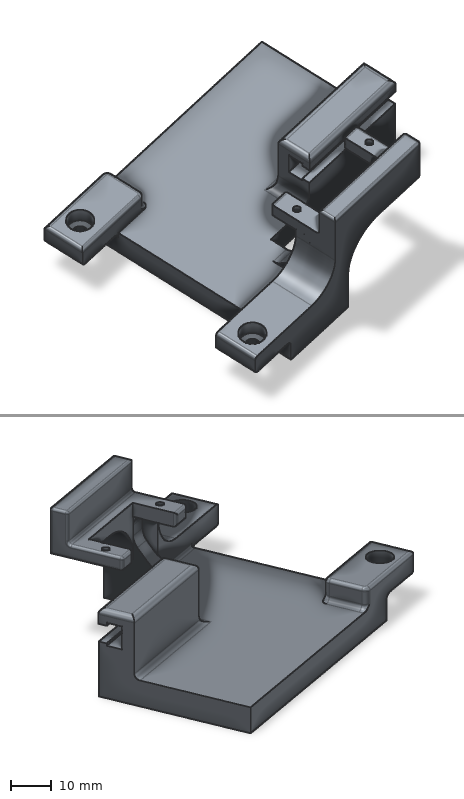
import cadquery as cq
import math

WIDTH = 66.95
LENGTH = 84.0
HEIGHT = 37.1

PLATE_TOP = 7.1
PLATE_FRONT = 13.9
PLATE_STEP_X = 42.3

LEG_TOP = 13.1
LEG_BOTTOM = PLATE_TOP
LEFT_LEG_WIDTH = 12.1
LEFT_LEG_BACK = 23.9
RIGHT_LEG_LEFT = 54.4
LEG_EDGE_RADIUS = 1.0
LEG_UNDERSIDE_RADIUS = 1.7
LEFT_LEG_BLEND = 1.5
RIGHT_LEG_BLEND = 0.9
LEG_HOLES = ((5.55, 7.05), (61.3, 5.8))
LEG_HOLE_DIAMETER = 3.4
COUNTERBORE_DIAMETER = 7.0
COUNTERBORE_DEPTH = 4.0

CHANNEL_LEFT = 32.4
CHANNEL_RIGHT = 42.5
CHANNEL_FRONT = 50.8
CHANNEL_TOP = 24.1
CHANNEL_EDGE_RADIUS = 1.5
CHANNEL_SIDE_BLEND = 1.5
CHANNEL_FRONT_BLEND = 3.45
SLOT_LEFT = 35.9
SLOT_RIGHT = 40.15
SLOT_BOTTOM = 14.45
SLOT_TOP = 20.75
MOUTH_BOTTOM = 15.1
MOUTH_TOP = 19.9

FRAME_LEFT = 46.5
FRAME_FRONT = 30.9
FRAME_BACK = 64.0
FRAME_BOTTOM = 24.4
FRAME_TOP = 28.2
FORK_INNER_X = 58.6
FORK_FRONT_INNER = 36.4
FORK_BACK_INNER = 59.0
WALL_LEFT = 61.8
FRAME_EDGE_RADIUS = 0.75
WALL_ROOT_RADIUS = 0.8
FRAME_HOLE_X = 52.5
FRAME_HOLE_YS = (33.7, 61.65)
FRAME_HOLE_DIAMETER = 2.0

COLUMN_LEFT = 58.7
COLUMN_BACK = 36.0
COLUMN_TOP_RADIUS = 2.35
BRACE_FOOT_X = 47.2
BRACE_TOE = (49.0, 7.7)
BRACE_SLOPE_END = (57.6, 16.05)
BRACE_KNEE_TOP = 19.1
WEB_THICKNESS = 0.3
FRONT_SWEEP_RADIUS = 9.0
BACK_SWEEP_RADIUS = 11.8


def box(x0, x1, y0, y1, z0, z1):
    """Box between two limits on each axis."""
    return cq.Workplane("XY").box(x1 - x0, y1 - y0, z1 - z0, centered=False).translate((x0, y0, z0))


def along_y(outline, y0, y1):
    """Extrude an XZ outline from y0 to y1."""
    return outline.extrude(y0 - y1).translate((0, y0, 0))


def along_x(outline, x0, x1):
    """Extrude a YZ outline from x0 to x1."""
    return outline.extrude(x1 - x0).translate((x0, 0, 0))


def concave_corner(plane, corner, reach):
    """Outline filling an inside corner with an arc; reach is the signed radius on both plane axes."""
    u, v = corner
    du, dv = reach
    arc_share = 1 - math.sqrt(0.5)
    return (
        cq.Workplane(plane)
        .moveTo(u, v)
        .lineTo(u + du, v)
        .threePointArc((u + du * arc_share, v + dv * arc_share), (u, v + dv))
        .close()
    )


def make_plate():
    rear = box(0, PLATE_STEP_X, PLATE_FRONT, LENGTH, 0, PLATE_TOP)
    front = box(0, WIDTH, PLATE_FRONT, COLUMN_BACK, 0, PLATE_TOP)
    return rear.union(front)


def underside_blend(x0, x1):
    """Fillet between the underside of a leg and the front of the plate."""
    reach = (-LEG_UNDERSIDE_RADIUS, -LEG_UNDERSIDE_RADIUS)
    return along_x(concave_corner("YZ", (PLATE_FRONT, LEG_BOTTOM), reach), x0, x1)


def make_left_leg():
    leg = box(0, LEFT_LEG_WIDTH, 0, LEFT_LEG_BACK, LEG_BOTTOM, LEG_TOP)
    leg = leg.edges("|Z and >Y").fillet(LEFT_LEG_BLEND)
    leg = leg.faces(">Z").edges().fillet(LEG_EDGE_RADIUS)
    leg = leg.faces("<Y").edges("<Z").fillet(LEG_EDGE_RADIUS)
    reach = (LEFT_LEG_BLEND, LEFT_LEG_BLEND)
    back_blend = along_x(
        concave_corner("YZ", (LEFT_LEG_BACK, PLATE_TOP), reach),
        LEFT_LEG_BLEND,
        LEFT_LEG_WIDTH - LEFT_LEG_BLEND,
    )
    leg = leg.union(back_blend)

    corner_y = LEFT_LEG_BACK - LEFT_LEG_BLEND
    blend_back = LEFT_LEG_BACK + LEFT_LEG_BLEND
    corner_space = box(0, LEFT_LEG_WIDTH, corner_y, blend_back, PLATE_TOP, LEG_TOP)
    corner_space = corner_space.edges("|Z and >X and >Y").fillet(LEFT_LEG_BLEND)
    ring = concave_corner("XZ", (LEFT_LEG_BLEND, 0), reach).revolve(360, (0, 0), (0, 1))
    for corner_x in (LEFT_LEG_BLEND, LEFT_LEG_WIDTH - LEFT_LEG_BLEND):
        leg = leg.union(ring.translate((corner_x, corner_y, PLATE_TOP)).intersect(corner_space))
    return leg.union(underside_blend(0, LEFT_LEG_WIDTH))


def make_right_leg():
    leg = box(RIGHT_LEG_LEFT, WIDTH, 0, FRAME_FRONT + WEB_THICKNESS, LEG_BOTTOM, LEG_TOP)
    leg = leg.faces("<Y").edges("|X").fillet(LEG_EDGE_RADIUS)
    side_blend = along_y(
        concave_corner("XZ", (RIGHT_LEG_LEFT, PLATE_TOP), (-RIGHT_LEG_BLEND, RIGHT_LEG_BLEND)),
        PLATE_FRONT,
        FRAME_FRONT,
    )
    return leg.union(side_blend).union(underside_blend(RIGHT_LEG_LEFT, WIDTH))


def make_channel():
    """Side and front silhouettes crossed, so rounds and blends meet in mitred corners."""
    side_body = along_y(
        cq.Workplane("XZ").rect(CHANNEL_RIGHT - CHANNEL_LEFT, CHANNEL_TOP - PLATE_TOP, centered=False),
        CHANNEL_FRONT - CHANNEL_FRONT_BLEND,
        LENGTH,
    ).translate((CHANNEL_LEFT, 0, PLATE_TOP))
    side_body = side_body.faces(">Z").edges("|Y").fillet(CHANNEL_EDGE_RADIUS)
    side_reach = (-CHANNEL_SIDE_BLEND, CHANNEL_SIDE_BLEND)
    side_blend = concave_corner("XZ", (CHANNEL_LEFT, PLATE_TOP), side_reach)
    side_body = side_body.union(along_y(side_blend, CHANNEL_FRONT - CHANNEL_FRONT_BLEND, LENGTH))

    left_limit = CHANNEL_LEFT - CHANNEL_SIDE_BLEND
    front_body = box(left_limit, CHANNEL_RIGHT, CHANNEL_FRONT, LENGTH, PLATE_TOP, CHANNEL_TOP)
    front_body = front_body.faces(">Z").edges("|X").fillet(CHANNEL_EDGE_RADIUS)
    front_reach = (-CHANNEL_FRONT_BLEND, CHANNEL_FRONT_BLEND)
    front_blend = concave_corner("YZ", (CHANNEL_FRONT, PLATE_TOP), front_reach)
    front_body = front_body.union(along_x(front_blend, left_limit, CHANNEL_RIGHT))

    slot = box(SLOT_LEFT, SLOT_RIGHT, 0, LENGTH, SLOT_BOTTOM, SLOT_TOP)
    mouth = box(SLOT_LEFT, WIDTH, 0, LENGTH, MOUTH_BOTTOM, MOUTH_TOP)
    overhang = box(PLATE_STEP_X, WIDTH, 0, LENGTH, PLATE_TOP, MOUTH_TOP)
    return side_body.intersect(front_body).cut(slot).cut(mouth).cut(overhang)


def make_frame():
    base = box(FRAME_LEFT, WIDTH, FRAME_FRONT, FRAME_BACK, FRAME_BOTTOM, FRAME_TOP)
    wall = box(WALL_LEFT, WIDTH, FRAME_FRONT, FRAME_BACK, FRAME_BOTTOM, HEIGHT)
    opening = box(FRAME_LEFT, FORK_INNER_X, FORK_FRONT_INNER, FORK_BACK_INNER, FRAME_BOTTOM, FRAME_TOP)
    frame = base.union(wall).cut(opening)
    root = cq.selectors.NearestToPointSelector((WALL_LEFT, (FRAME_FRONT + FRAME_BACK) / 2, FRAME_TOP))
    frame = frame.edges(root).fillet(WALL_ROOT_RADIUS)
    rounded = frame.faces("<X").edges().add(frame.faces(">Z").edges()).add(frame.faces(">Y").edges())
    return rounded.fillet(FRAME_EDGE_RADIUS)


def make_column():
    core = box(COLUMN_LEFT, WIDTH, FRAME_FRONT, COLUMN_BACK, PLATE_TOP, FRAME_BOTTOM)
    web = box(RIGHT_LEG_LEFT, WIDTH, FRAME_FRONT, FRAME_FRONT + WEB_THICKNESS, PLATE_TOP, FRAME_BOTTOM)
    column = core.union(web)

    brace_outline = (
        cq.Workplane("XZ")
        .moveTo(PLATE_STEP_X, 0)
        .lineTo(PLATE_STEP_X, PLATE_TOP)
        .lineTo(BRACE_FOOT_X, PLATE_TOP)
        .tangentArcPoint(BRACE_TOE, relative=False)
        .tangentArcPoint(BRACE_SLOPE_END, relative=False)
        .tangentArcPoint((COLUMN_LEFT, BRACE_KNEE_TOP), relative=False)
        .lineTo(WIDTH, BRACE_KNEE_TOP)
        .lineTo(WIDTH, 0)
        .close()
    )
    brace = along_y(brace_outline, FRAME_FRONT, COLUMN_BACK)
    column = column.union(brace)

    top_reach = (-COLUMN_TOP_RADIUS, -COLUMN_TOP_RADIUS)
    top_blend = concave_corner("XZ", (COLUMN_LEFT, FRAME_BOTTOM), top_reach)
    front_reach = (-FRONT_SWEEP_RADIUS, FRONT_SWEEP_RADIUS)
    front_sweep = concave_corner("YZ", (FRAME_FRONT, LEG_TOP), front_reach)
    back_reach = (BACK_SWEEP_RADIUS, -BACK_SWEEP_RADIUS)
    back_sweep = concave_corner("YZ", (COLUMN_BACK, FRAME_BOTTOM), back_reach)
    column = column.union(along_y(top_blend, FRAME_FRONT, COLUMN_BACK))
    column = column.union(along_x(front_sweep, RIGHT_LEG_LEFT, WIDTH))
    return column.union(along_x(back_sweep, FORK_INNER_X, WIDTH))


def drill(body):
    """Counterbored leg holes and plain holes through the fork arms."""
    for x, y in LEG_HOLES:
        body = body.cut(cq.Workplane("XY").center(x, y).circle(LEG_HOLE_DIAMETER / 2).extrude(LEG_TOP))
        counterbore = cq.Workplane("XY", origin=(x, y, LEG_TOP)).circle(COUNTERBORE_DIAMETER / 2)
        body = body.cut(counterbore.extrude(-COUNTERBORE_DEPTH))
    for y in FRAME_HOLE_YS:
        hole = cq.Workplane("XY", origin=(FRAME_HOLE_X, y, FRAME_BOTTOM)).circle(FRAME_HOLE_DIAMETER / 2)
        body = body.cut(hole.extrude(FRAME_TOP - FRAME_BOTTOM))
    return body


body = make_plate()
for feature in (make_left_leg(), make_right_leg(), make_channel(), make_column(), make_frame()):
    body = body.union(feature)
result = drill(body)